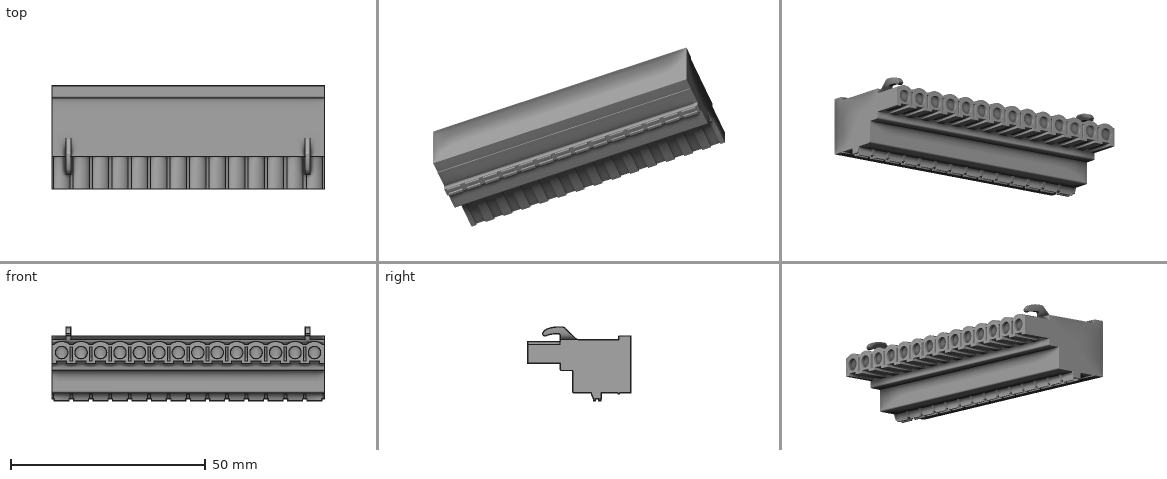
import cadquery as cq


OVERLAP = 0.3

POLE_COUNT = 14
PITCH = 5.0
FIRST_POLE_X = 2.5
LENGTH = 70.1
POLE_CENTRES = [FIRST_POLE_X + i * PITCH for i in range(POLE_COUNT)]
INNER_BOUNDARIES = [x + PITCH / 2 for x in POLE_CENTRES[:-1]]

HOUSING_BOTTOM = 2.0
HOUSING_TOP = 15.75
LIP_TOP = 16.7
LIP_DEPTH = 3.2
BASE_DEPTH = 15.0
SHOULDER_DEPTH = 18.2
SHOULDER_BOTTOM = 7.75
EDGE_RADIUS = 0.4
UNDERSIDE_ROOT_Z = HOUSING_BOTTOM + OVERLAP

NOSE_DEPTH = 26.6
NOSE_BOTTOM = 9.6
NOSE_SHELF = 14.45
CROWN_TOP = 15.25
CROWN_WIDTH = 4.2
ENTRY_RADIUS = 1.6
ENTRY_Z = 12.4
ENTRY_DEPTH = 1.0
SLIT_WIDTH = 0.65
SLIT_TOP = 13.8
SLIT_DEPTH = 1.0
UNDERCUT_TOP = 10.25
UNDERCUT_WIDTH = 2.6

LATCH_THICKNESS = 1.3
LATCH_TOP = 19.0
LATCH_ROOT_DEPTH = 13.4
RAMP_FOOT_DEPTH = 14.3
RAMP_FOOT_Z = 16.07
RAMP_TOP_DEPTH = 16.9
RAMP_TOP_Z = 18.6
HOOK_UNDERSIDE = 17.2
HOOK_INNER_RADIUS = 0.4
UNDERSIDE_CURL_START = (-19.5, HOOK_UNDERSIDE)
UNDERSIDE_CURL_MIDDLE = (-20.5, 17.1)
UNDERSIDE_CURL_END = (-21.5, 16.85)
NIB_BACK = (-21.9, 16.6)
NIB_FRONT = (-22.5, 16.75)
TIP = (-22.8, 17.25)
TIP_ROUND_MIDDLE = (-22.3, 17.95)
BACK_CURL_END = (-21.6, 18.45)
BACK_CURL_MIDDLE = (-20.5, 18.8)
BACK_CURL_START = (-19.3, 18.97)
CREST_FRONT = (-18.7, LATCH_TOP)
CREST_BACK = (-17.7, LATCH_TOP)
CREST_ROUND_MIDDLE = (-17.25, 18.88)
LATCH_INSET = 4.25
LATCH_CENTRES = [LATCH_INSET, POLE_COUNT * PITCH - LATCH_INSET]

RAIL_BACK = 7.6
RAIL_FRONT = 9.7
RAIL_BOTTOM = 0.5
RIDGE_LENGTH = 3.85
BACK_RIDGE = (7.75, 8.3)
FRONT_RIDGE = (9.1, RAIL_FRONT)
RIB_WIDTH = 0.75
RIB_FRONT = 10.2
RIB_SLOPE_TOP = 1.75

BEAD_BACK = 2.95
BEAD_FRONT = 3.35
BEAD_BOTTOM = 1.75


def block(x_min, x_max, depth_back, depth_front, z_min, z_max):
    """Box between two X positions, two depths and two heights."""
    size = (x_max - x_min, depth_front - depth_back, z_max - z_min)
    return cq.Workplane("XY").box(*size, centered=False).translate((x_min, -depth_front, z_min))


def side_profile(points, x_min):
    """Open outline through (depth, z) points in the side plane at x_min."""
    return cq.Workplane("YZ", origin=(x_min, 0, 0)).polyline([(-d, z) for d, z in points])


def make_housing():
    outline = [
        (0, HOUSING_BOTTOM),
        (0, LIP_TOP),
        (LIP_DEPTH, LIP_TOP),
        (LIP_DEPTH, HOUSING_TOP),
        (SHOULDER_DEPTH, HOUSING_TOP),
        (SHOULDER_DEPTH, SHOULDER_BOTTOM),
        (BASE_DEPTH, SHOULDER_BOTTOM),
        (BASE_DEPTH, HOUSING_BOTTOM),
    ]
    housing = side_profile(outline, 0).close().extrude(LENGTH)
    rounded_corners = [
        (LIP_DEPTH, LIP_TOP),
        (SHOULDER_DEPTH, SHOULDER_BOTTOM),
        (BASE_DEPTH, HOUSING_BOTTOM),
    ]
    for depth, z in rounded_corners:
        corner = cq.selectors.NearestToPointSelector((LENGTH / 2, -depth, z))
        housing = housing.edges(corner).fillet(EDGE_RADIUS)
    return housing


def make_crown(x):
    """Arched roof over one pole, reaching from the shoulder to the nose face."""
    half = CROWN_WIDTH / 2
    return (
        cq.Workplane("XZ", origin=(x, -SHOULDER_DEPTH + OVERLAP, 0))
        .moveTo(-half, NOSE_SHELF - OVERLAP)
        .lineTo(-half, NOSE_SHELF)
        .threePointArc((0, CROWN_TOP), (half, NOSE_SHELF))
        .lineTo(half, NOSE_SHELF - OVERLAP)
        .close()
        .extrude(NOSE_DEPTH - SHOULDER_DEPTH + OVERLAP)
    )


def make_nose():
    nose = block(0, LENGTH, SHOULDER_DEPTH - OVERLAP, NOSE_DEPTH, NOSE_BOTTOM, NOSE_SHELF)
    for x in POLE_CENTRES:
        nose = nose.union(make_crown(x))
    for x in POLE_CENTRES:
        entry = (
            cq.Workplane("XZ", origin=(x, -NOSE_DEPTH + ENTRY_DEPTH, ENTRY_Z))
            .circle(ENTRY_RADIUS)
            .extrude(ENTRY_DEPTH)
        )
        half = UNDERCUT_WIDTH / 2
        undercut = block(x - half, x + half, SHOULDER_DEPTH, NOSE_DEPTH, NOSE_BOTTOM, UNDERCUT_TOP)
        nose = nose.cut(entry).cut(undercut)
    for x in INNER_BOUNDARIES:
        half = SLIT_WIDTH / 2
        slit_back = NOSE_DEPTH - SLIT_DEPTH
        slit = block(x - half, x + half, slit_back, NOSE_DEPTH, UNDERCUT_TOP, SLIT_TOP)
        nose = nose.cut(slit)
    return nose


def make_latch(x):
    """Hook rising from the roof on a ramp and curling forward over the nose."""
    ramp = [(RAMP_TOP_DEPTH, RAMP_TOP_Z), (RAMP_FOOT_DEPTH, RAMP_FOOT_Z)]
    return (
        side_profile(ramp, x - LATCH_THICKNESS / 2)
        .tangentArcPoint((-LATCH_ROOT_DEPTH, HOUSING_TOP), relative=False)
        .lineTo(-LATCH_ROOT_DEPTH, HOUSING_TOP - OVERLAP)
        .lineTo(-SHOULDER_DEPTH, HOUSING_TOP - OVERLAP)
        .lineTo(-SHOULDER_DEPTH, HOOK_UNDERSIDE - HOOK_INNER_RADIUS)
        .radiusArc((-SHOULDER_DEPTH - HOOK_INNER_RADIUS, HOOK_UNDERSIDE), -HOOK_INNER_RADIUS)
        .lineTo(*UNDERSIDE_CURL_START)
        .threePointArc(UNDERSIDE_CURL_MIDDLE, UNDERSIDE_CURL_END)
        .lineTo(*NIB_BACK)
        .lineTo(*NIB_FRONT)
        .lineTo(*TIP)
        .threePointArc(TIP_ROUND_MIDDLE, BACK_CURL_END)
        .threePointArc(BACK_CURL_MIDDLE, BACK_CURL_START)
        .lineTo(*CREST_FRONT)
        .lineTo(*CREST_BACK)
        .threePointArc(CREST_ROUND_MIDDLE, (-RAMP_TOP_DEPTH, RAMP_TOP_Z))
        .close()
        .extrude(LATCH_THICKNESS)
    )


def make_rib(x):
    """Sloped-front rib on the keying rail, kept within the ends of the housing."""
    outline = [
        (RAIL_BACK, UNDERSIDE_ROOT_Z),
        (RAIL_BACK, RAIL_BOTTOM),
        (RAIL_FRONT, RAIL_BOTTOM),
        (RIB_FRONT, RIB_SLOPE_TOP),
        (RIB_FRONT, UNDERSIDE_ROOT_Z),
    ]
    x_min = max(0, x - RIB_WIDTH / 2)
    x_max = min(LENGTH, x + RIB_WIDTH / 2)
    return side_profile(outline, x_min).close().extrude(x_max - x_min)


def make_keying_rail():
    rail = block(0, LENGTH, RAIL_BACK, RAIL_FRONT, RAIL_BOTTOM, UNDERSIDE_ROOT_Z)
    for x in [0, *INNER_BOUNDARIES, LENGTH]:
        rail = rail.union(make_rib(x))
    half = RIDGE_LENGTH / 2
    for x in POLE_CENTRES:
        back_ridge = block(x - half, x + half, *BACK_RIDGE, 0, UNDERSIDE_ROOT_Z)
        front_ridge = block(x - half, x + half, *FRONT_RIDGE, 0, UNDERSIDE_ROOT_Z)
        rail = rail.union(back_ridge).union(front_ridge)
    return rail


def make_bead():
    return block(0, LENGTH, BEAD_BACK, BEAD_FRONT, BEAD_BOTTOM, UNDERSIDE_ROOT_Z)


result = make_housing().union(make_nose()).union(make_keying_rail()).union(make_bead())
for latch_x in LATCH_CENTRES:
    result = result.union(make_latch(latch_x))